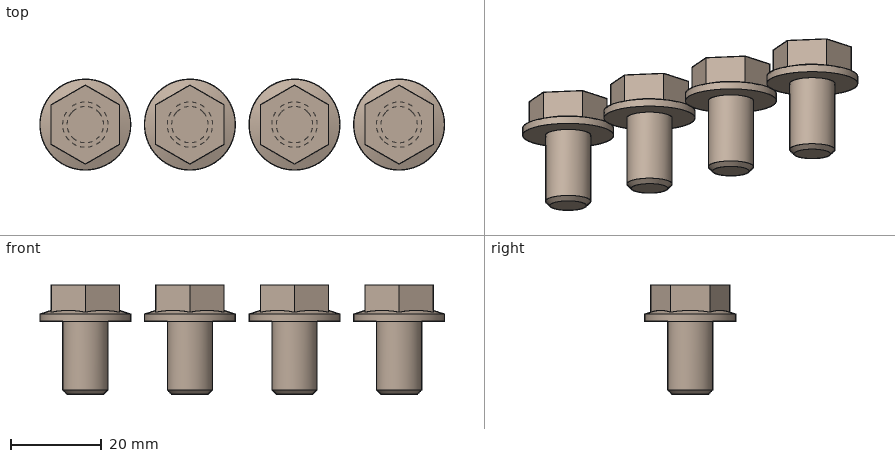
import cadquery as cq
import math

row_length = 89.0
bolt_count = 4

flange_diameter = 20.0
rim_thickness = 1.6
flange_slope = 18.0
hex_across_flats = 15.0
head_height = 8.0
shank_diameter = 10.0
shank_length = 16.0
tip_chamfer = 1.0

bolt_pitch = (row_length - flange_diameter) / (bolt_count - 1)
flange_radius = flange_diameter / 2
hex_across_corners = hex_across_flats / math.cos(math.radians(30))
cone_top_radius = shank_diameter / 2
cone_rise = (flange_radius - cone_top_radius) * math.tan(math.radians(flange_slope))


def make_flange():
    """Round flange with a short cylindrical rim and a conical top."""
    return (
        cq.Workplane("XZ")
        .moveTo(0, 0)
        .lineTo(flange_radius, 0)
        .lineTo(flange_radius, rim_thickness)
        .lineTo(cone_top_radius, rim_thickness + cone_rise)
        .lineTo(0, rim_thickness + cone_rise)
        .close()
        .revolve(360, (0, 0), (0, 1))
    )


def make_hexagon():
    """Hexagonal head with two corners on the Y axis."""
    return (
        cq.Workplane("XY")
        .polygon(6, hex_across_corners)
        .extrude(head_height)
        .rotate((0, 0, 0), (0, 0, 1), 30)
    )


def make_shank():
    """Plain shank hanging below the flange, chamfered at its tip."""
    return (
        cq.Workplane("XY")
        .circle(shank_diameter / 2)
        .extrude(-shank_length)
        .faces("<Z")
        .chamfer(tip_chamfer)
    )


def make_flange_bolt():
    """One complete flange bolt, standing on the Z axis."""
    return make_flange().union(make_hexagon()).union(make_shank())


flange_bolts = []
for index in range(bolt_count):
    bolt_x = (index - (bolt_count - 1) / 2) * bolt_pitch
    flange_bolts.append(make_flange_bolt().translate((bolt_x, 0, 0)))

result = cq.Compound.makeCompound([bolt.val() for bolt in flange_bolts])